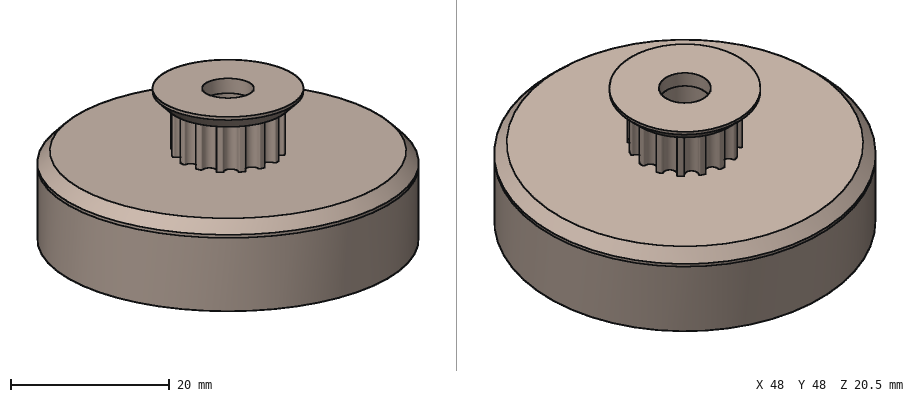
import cadquery as cq

overall_height = 20.5
bore_radius = 3.25

wheel_radius = 24.0
wheel_height = 10.0

flange_thickness = 2.0
flange_bevel = 1.6
pulley_flange_radius = 9.5

pulley_radius = 7.25
pulley_height = overall_height - wheel_height - 2 * flange_thickness
tooth_count = 16
tooth_tip_fillet = 0.2
groove_radius = 0.9
groove_depth = 1.15
groove_centre_radius = pulley_radius - groove_depth + groove_radius

wheel_flange_base = wheel_height
pulley_base = wheel_flange_base + flange_thickness
pulley_flange_base = pulley_base + pulley_height


def disc(radius, height, base):
    """Solid disc on the Z axis, standing on the height `base`."""
    return cq.Workplane("XY", origin=(0, 0, base)).circle(radius).extrude(height)


def with_bore(body):
    """The body, as one solid, with the common bore cut right through it."""
    return body.cut(disc(bore_radius, overall_height, 0)).solids()


def bevelled_flange(radius, base, bevelled_face):
    """Bored flange whose rim is bevelled towards the selected flat face."""
    flange = disc(radius, flange_thickness, base).faces(bevelled_face).edges().chamfer(flange_bevel)
    return with_bore(flange)


def toothed_pulley():
    """Bored pulley with evenly spaced grooves, one of them facing -Y."""
    grooves = (
        cq.Workplane("XY", origin=(0, 0, pulley_base))
        .polarArray(groove_centre_radius, 0, 360, tooth_count)
        .circle(groove_radius)
        .extrude(pulley_height)
    )
    grooved = disc(pulley_radius, pulley_height, pulley_base).cut(grooves)
    rounded = grooved.edges("|Z").fillet(tooth_tip_fillet)
    return with_bore(rounded)


wheel = with_bore(disc(wheel_radius, wheel_height, 0))
wheel_flange = bevelled_flange(wheel_radius, wheel_flange_base, ">Z")
pulley = toothed_pulley()
pulley_flange = bevelled_flange(pulley_flange_radius, pulley_flange_base, "<Z")

result = cq.Compound.makeCompound([wheel.val(), wheel_flange.val(), pulley.val(), pulley_flange.val()])